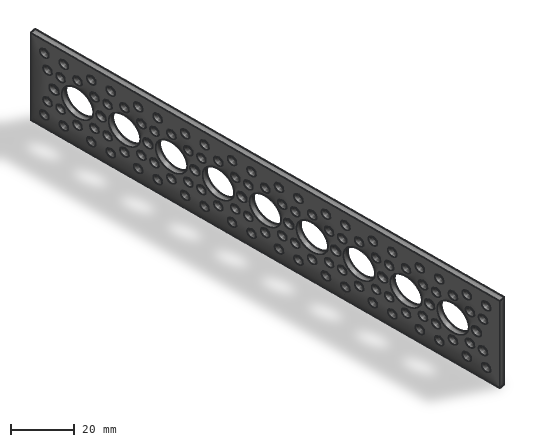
import cadquery as cq
import math

length = 190.5
height = 38.1
thickness = 2.3

pitch = 19.0
hub_count = 9
inner_ring_radius = 9.7
outer_ring_radius = pitch

hub_diameter = 12.8
small_diameter = 3.6
link_diameter = 4.0

inner_diagonal = inner_ring_radius * math.sqrt(0.5)
outer_diagonal = outer_ring_radius * math.sqrt(0.5)


def evenly_spaced(count):
    """X positions of count stations at the pitch, centred on the plate."""
    return [(i - (count - 1) / 2) * pitch for i in range(count)]


def mirrored_rows(x_positions, z_offset):
    """The same row of points above and below the plate's centre line."""
    return [(x, z) for x in x_positions for z in (z_offset, -z_offset)]


def cut_holes(body, points, diameter):
    """Drill through holes along Y at the given (X, Z) points."""
    return body.faces("<Y").workplane(origin=(0, 0, 0)).pushPoints(points).hole(diameter)


hub_xs = evenly_spaced(hub_count)
link_xs = evenly_spaced(hub_count + 1)

inner_gap = pitch / 2 - inner_diagonal
outer_gap = outer_diagonal - pitch / 2
inner_pair_xs = [x + side * inner_gap for x in link_xs for side in (-1, 1)]
outer_pair_xs = [x + side * outer_gap for x in link_xs for side in (-1, 1)]

small_points = (
    mirrored_rows(hub_xs, inner_ring_radius)
    + mirrored_rows(inner_pair_xs, inner_diagonal)
    + mirrored_rows(outer_pair_xs, outer_diagonal)
)

plate = cq.Workplane("XY").box(length, thickness, height)
plate = cut_holes(plate, [(x, 0) for x in hub_xs], hub_diameter)
plate = cut_holes(plate, [(x, 0) for x in link_xs], link_diameter)
result = cut_holes(plate, small_points, small_diameter)